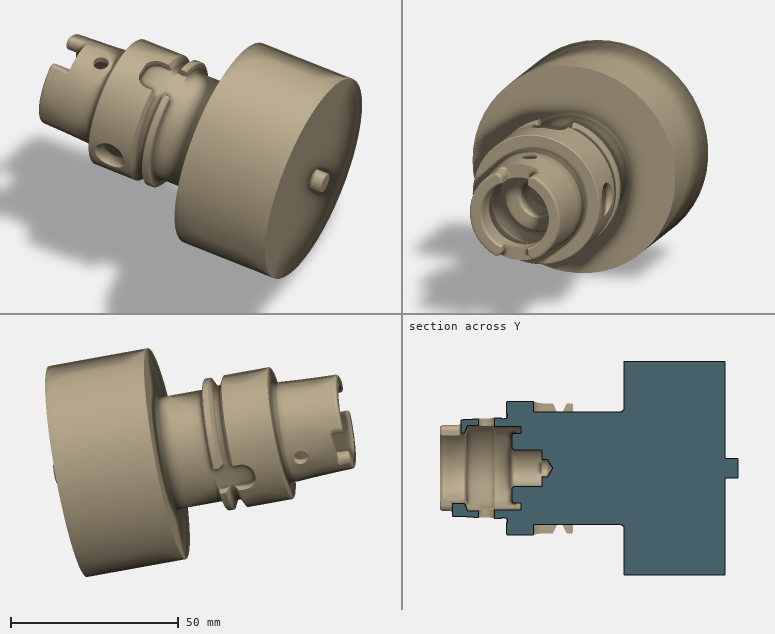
import cadquery as cq
import math


shank_length = 17.9
shank_nose_radius = 14.2
shank_base_radius = 15.1
nose_rounding = 0.8
relief_radius = 14.85
relief_start = 18.6
relief_end = 18.9
root_radius = 14.9
root_start = 19.3

flange_start = 19.7
flange_end = 39.7
flange_radius = 20.0
flange_front_chamfer = 0.3
flange_back_chamfer = 0.4
face_groove_radius = 16.3
face_groove_depth = 0.3
face_groove_fillet = 0.6
groove_start = 33.7
groove_end = 37.8
groove_floor_radius = 17.3
groove_flank_length = 1.3
groove_fillet = 0.6

neck_radius = 16.9
neck_fillet = 1.1
disc_start = 54.8
disc_end = 85.0
disc_radius = 32.0
pin_radius = 3.0
pin_fillet = 0.4
pin_chamfer = 0.2
total_length = 88.9

bore_radius = 10.5
bore_mouth_flare = 0.45
bore_mouth_length = 0.9
bore_lip_end = 7.3
lip_shoulder_length = 0.9
clamp_radius = 12.7
clamp_end = 15.7
recess_radius = 12.4
recess_start = 16.4
recess_end = 24.0
boss_radius = 10.5
boss_face = 21.3
boss_rounding = 0.7
thread_radius = 5.4
thread_chamfer = 0.6
thread_end = 30.2
drill_radius = 2.5
drill_end = 32.0
drill_point_angle = 118.0

slot_half_width = 4.0
slot_lip_radius = 1.9
slot_shelf_height = 12.8
slot_end_fillet = 0.8
top_slot_depth = 6.1
bottom_slot_depth = 3.65

notch_floor_height = neck_radius
notch_start = 27.8
notch_corner_radius = 3.8
top_notch_width = 10.85
bottom_notch_width = 9.0

cross_hole_x = 13.9
cross_hole_radius = 2.3
chip_hole_x = 26.9
chip_hole_radius = 5.0
chip_hole_depth = 4.5
chip_hole_floor_chamfer = 0.3


def revolve_about_x(sketch):
    return sketch.close().revolve(360, (0, 0, 0), (1, 0, 0))


def edge_ring(x, radius):
    """Select the circular edge around the X axis at the given place, and no smaller circle."""
    slack = 0.01

    def disc(reach):
        return cq.selectors.BoxSelector(
            (x - slack, -reach, -reach),
            (x + slack, reach, reach),
            boundingbox=True,
        )

    return disc(radius + slack) - disc(radius - slack)


def turn_over(cutter):
    return cutter.rotate((0, 0, 0), (1, 0, 0), 180)


def make_body():
    face_groove_floor = flange_start + face_groove_depth
    body = revolve_about_x(
        cq.Workplane("XY")
        .lineTo(0, shank_nose_radius)
        .lineTo(shank_length, shank_base_radius)
        .lineTo(relief_start, relief_radius)
        .lineTo(relief_end, relief_radius)
        .lineTo(root_start, root_radius)
        .lineTo(face_groove_floor, root_radius)
        .lineTo(face_groove_floor, face_groove_radius)
        .lineTo(flange_start, face_groove_radius)
        .lineTo(flange_start, flange_radius)
        .lineTo(groove_start, flange_radius)
        .lineTo(groove_start + groove_flank_length, groove_floor_radius)
        .lineTo(groove_end - groove_flank_length, groove_floor_radius)
        .lineTo(groove_end, flange_radius)
        .lineTo(flange_end, flange_radius)
        .lineTo(flange_end, neck_radius)
        .lineTo(disc_start, neck_radius)
        .lineTo(disc_start, disc_radius)
        .lineTo(disc_end, disc_radius)
        .lineTo(disc_end, pin_radius)
        .lineTo(total_length, pin_radius)
        .lineTo(total_length, 0)
    )
    fillets = [
        (face_groove_floor, root_radius, face_groove_fillet),
        (groove_start + groove_flank_length, groove_floor_radius, groove_fillet),
        (groove_end - groove_flank_length, groove_floor_radius, groove_fillet),
        (flange_end, neck_radius, neck_fillet),
        (disc_start, neck_radius, neck_fillet),
        (disc_end, pin_radius, pin_fillet),
    ]
    for x, radius, fillet in fillets:
        body = body.edges(edge_ring(x, radius)).fillet(fillet)
    chamfers = [
        (flange_start, flange_radius, flange_front_chamfer),
        (flange_end, flange_radius, flange_back_chamfer),
        (total_length, pin_radius, pin_chamfer),
    ]
    for x, radius, chamfer in chamfers:
        body = body.edges(edge_ring(x, radius)).chamfer(chamfer)
    return body


def make_bore():
    """Stepped cavity around a round-edged boss, with a drilled hole in the boss."""
    drill_point = drill_radius / math.tan(math.radians(drill_point_angle / 2))
    cavity = revolve_about_x(
        cq.Workplane("XY")
        .lineTo(0, bore_radius + bore_mouth_flare)
        .lineTo(bore_mouth_length, bore_radius)
        .lineTo(bore_lip_end, bore_radius)
        .lineTo(bore_lip_end + lip_shoulder_length, clamp_radius)
        .lineTo(clamp_end, clamp_radius)
        .lineTo(recess_start, recess_radius)
        .lineTo(recess_end, recess_radius)
        .lineTo(recess_end, boss_radius)
        .lineTo(boss_face, boss_radius)
        .lineTo(boss_face, thread_radius + thread_chamfer)
        .lineTo(boss_face + thread_chamfer, thread_radius)
        .lineTo(thread_end, thread_radius)
        .lineTo(thread_end, drill_radius)
        .lineTo(drill_end, drill_radius)
        .lineTo(drill_end + drill_point, 0)
    )
    return cavity.edges(edge_ring(boss_face, boss_radius)).fillet(boss_rounding)


def slot_profile():
    """Upward-opening slot whose walls round outward onto a flat shelf."""
    wall = slot_half_width
    shelf = slot_shelf_height
    lip = slot_lip_radius
    diagonal = lip * math.sqrt(0.5)
    reach = shank_base_radius
    return (
        cq.Workplane("YZ")
        .moveTo(-wall, 0)
        .lineTo(wall, 0)
        .lineTo(wall, shelf - lip)
        .threePointArc((wall + lip - diagonal, shelf - lip + diagonal), (wall + lip, shelf))
        .lineTo(reach, shelf)
        .lineTo(reach, reach)
        .lineTo(-reach, reach)
        .lineTo(-reach, shelf)
        .lineTo(-wall - lip, shelf)
        .threePointArc((-wall - lip + diagonal, shelf - lip + diagonal), (-wall, shelf - lip))
        .close()
    )


def make_slot(depth):
    return slot_profile().extrude(depth).faces(">X").edges().fillet(slot_end_fillet)


def make_notch(width):
    length = flange_end + neck_fillet - notch_start
    return (
        cq.Workplane("XY", origin=(notch_start, 0, notch_floor_height))
        .rect(2 * length, width)
        .extrude(flange_radius)
        .translate((length, 0, 0))
        .edges("|Z and <X")
        .fillet(notch_corner_radius)
    )


def make_cross_hole():
    """Plain hole through both walls of the shank."""
    hole = cq.Workplane("XY", origin=(cross_hole_x, 0, 0)).circle(cross_hole_radius)
    return hole.extrude(flange_radius, both=True)


def make_chip_hole():
    floor_y = -flange_radius + chip_hole_depth
    hole = cq.Workplane("XZ", origin=(chip_hole_x, floor_y, 0)).circle(chip_hole_radius)
    return hole.extrude(2 * chip_hole_depth).faces(">Y").chamfer(chip_hole_floor_chamfer)


result = make_body().cut(make_slot(top_slot_depth)).cut(turn_over(make_slot(bottom_slot_depth)))
result = result.faces("<X").edges().fillet(nose_rounding)
result = result.cut(make_bore())
result = result.cut(make_notch(top_notch_width)).cut(turn_over(make_notch(bottom_notch_width)))
result = result.cut(make_cross_hole()).cut(make_chip_hole())